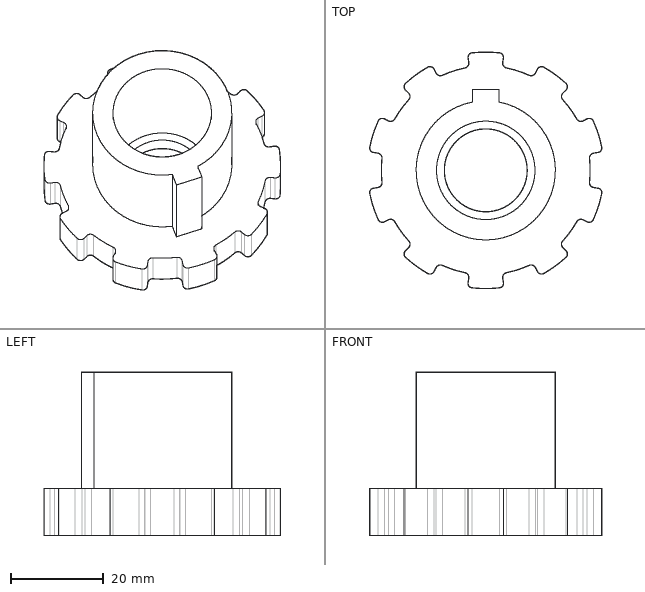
import cadquery as cq
import math

tip_diameter = 50.95
root_diameter = 45.0
flange_height = 10.2
tooth_count = 10
corner_radius = 1.0

total_height = 35.2
hub_diameter = 29.95
key_width = 5.8
key_reach = 17.4

through_bore_diameter = 17.8
wide_bore_diameter = 21.2
shoulder_height = 4.2

pitch_angle = 360 / tooth_count
gap_angle = pitch_angle / 2
first_gap_angle = 90 + pitch_angle / 2


def polar_point(radius, angle):
    """Point at the given radius and angle in degrees, measured from +X."""
    radians = math.radians(angle)
    return (radius * math.cos(radians), radius * math.sin(radians))


def toothed_flange():
    tip_radius = tip_diameter / 2
    root_radius = root_diameter / 2
    half_gap = gap_angle / 2
    outline = cq.Workplane("XY").moveTo(*polar_point(root_radius, first_gap_angle - half_gap))
    for index in range(tooth_count):
        gap_center = first_gap_angle + index * pitch_angle
        gap_end = gap_center + half_gap
        tooth_center = gap_center + pitch_angle / 2
        tooth_end = gap_center + pitch_angle - half_gap
        outline = (
            outline
            .threePointArc(polar_point(root_radius, gap_center), polar_point(root_radius, gap_end))
            .lineTo(*polar_point(tip_radius, gap_end))
            .threePointArc(polar_point(tip_radius, tooth_center), polar_point(tip_radius, tooth_end))
            .lineTo(*polar_point(root_radius, tooth_end))
        )
    return outline.close().extrude(flange_height).edges("|Z").fillet(corner_radius)


def keyed_hub():
    hub = cq.Workplane("XY").circle(hub_diameter / 2).extrude(total_height)
    key = cq.Workplane("XY").box(key_width, key_reach, total_height, centered=(True, False, False))
    return hub.union(key)


def stepped_bore():
    through_bore = cq.Workplane("XY").circle(through_bore_diameter / 2).extrude(total_height)
    wide_bore = (
        cq.Workplane("XY", origin=(0, 0, shoulder_height))
        .circle(wide_bore_diameter / 2)
        .extrude(total_height - shoulder_height)
    )
    return through_bore.union(wide_bore)


result = toothed_flange().union(keyed_hub()).cut(stepped_bore())